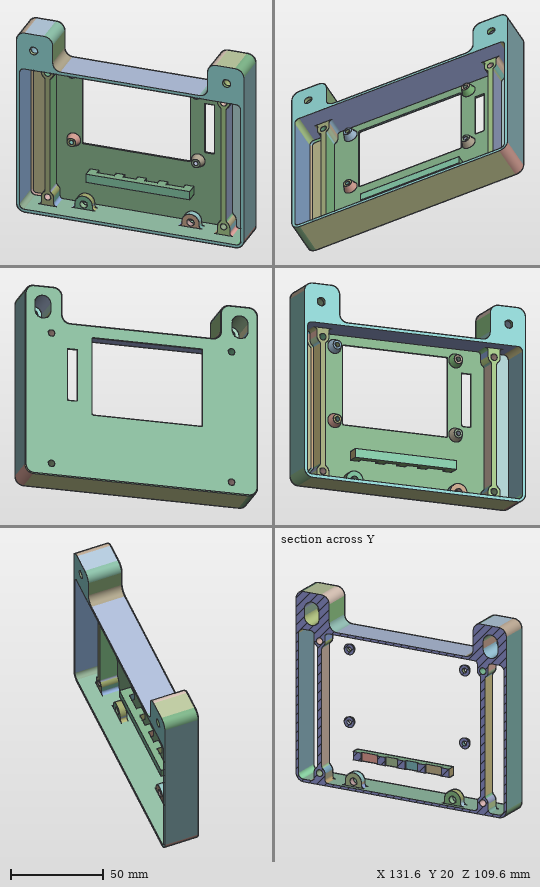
import cadquery as cq
import math

width = 131.6
height = 109.6
depth = 20.0
box_height = 89.5
wall = 1.8
floor_thickness = 1.0
floor_y = depth - floor_thickness
outer_radius = 5.0
neck_radius = 4.6
cavity_radius = 2.8
back_edge_chamfer = 0.5

ear_width = 21.0
ear_hole_inset = 10.0
ear_hole_diameter = 4.6
ear_hole_length = 2.1
ear_slot_width = 9.0
ear_slot_length = 13.2

ridge_x = 50.9
ridge_width = 3.0
ridge_front_y = 8.7
post_radius = 3.5
post_blend_radius = 1.5
post_hole_diameter = 3.7
post_hole_inset = 6.8
flare_radius = 1.7
compartment_chamfer = 1.0

window_left, window_right = -34.6, 27.9
window_bottom, window_top = 37.5, 82.5
window_radius = 0.8
standoff_left, standoff_right = -39.5, 32.5
standoff_bottom, standoff_top = 39.2, 81.0
standoff_base_radius = 4.0
standoff_tip_radius = 2.5
standoff_height = 4.0
standoff_hole_diameter = 2.5

slot_left, slot_right = 36.2, 41.8
slot_bottom, slot_top = 44.6, 74.6
slot_radius = 0.9

bar_length = 60.0
bar_bottom, bar_top = 17.9, 22.9
bar_height = 6.7
bar_foot_width = 5.0
bar_foot_count = 5
outer_gap_width = 10.0
gap_depth = 2.9

lug_x = 30.9
lug_z = 4.7
lug_radius = 5.0
lug_front_y = 11.0
lug_thickness = 4.0
lug_hole_diameter = 4.2


def front_plane(y):
    """Workplane facing the front, with local axes X and Z."""
    return cq.Workplane("XZ", origin=(0, y, 0))


def block(left, right, bottom, top, front, back):
    """Box between the given limits along X, Z and Y."""
    corner = cq.Workplane("XY", origin=(left, front, bottom))
    return corner.box(right - left, back - front, top - bottom, centered=False)


def around(left, right, bottom, top, front=0, back=depth):
    """Selector for what has its center within the given limits, with a little slack."""
    slack = 0.1
    return cq.selectors.BoxSelector(
        (left - slack, front - slack, bottom - slack), (right + slack, back + slack, top + slack)
    )


def holes(points, diameter, front, back):
    """Cylinders along Y used to drill holes."""
    return front_plane(front).pushPoints(points).circle(diameter / 2).extrude(front - back)


def flared_tab(center_x, center_z, radius, base_z, front, back):
    """Round-topped tab rising (or hanging) from a wall at base_z, flared where it joins the wall."""
    up = math.copysign(1, center_z - base_z)
    flare_z = base_z + up * flare_radius
    bulge = flare_radius * (1 - math.sqrt(0.5))
    foot = radius + flare_radius
    return (
        front_plane(front)
        .moveTo(center_x - foot, base_z)
        .threePointArc((center_x - radius - bulge, base_z + up * bulge), (center_x - radius, flare_z))
        .lineTo(center_x - radius, center_z)
        .threePointArc((center_x, center_z + up * radius), (center_x + radius, center_z))
        .lineTo(center_x + radius, flare_z)
        .threePointArc((center_x + radius + bulge, base_z + up * bulge), (center_x + foot, base_z))
        .close()
        .extrude(front - back)
    )


def make_shell():
    half = width / 2
    neck = half - ear_width
    body = block(-half, half, 0, height, 0, depth)
    body = body.cut(block(-neck, neck, box_height, height, 0, depth))
    body = body.edges("|Y").edges(around(-neck, neck, box_height, box_height)).fillet(neck_radius)
    outer_corners = around(-half, half, height, height) + around(-half, half, 0, 0)
    body = body.edges("|Y").edges(outer_corners).fillet(outer_radius)
    body = body.faces(">Y").edges().chamfer(back_edge_chamfer)
    cavity = block(-half + wall, half - wall, wall, box_height - wall, 0, floor_y)
    return body.cut(cavity.edges("|Y").fillet(cavity_radius))


def make_ridge(x):
    half = ridge_width / 2
    low, high = post_hole_inset, box_height - post_hole_inset
    ridge = block(x - half, x + half, low, high, ridge_front_y, floor_y)
    ridge = ridge.union(flared_tab(x, low, post_radius, wall, ridge_front_y, floor_y))
    ridge = ridge.union(flared_tab(x, high, post_radius, box_height - wall, ridge_front_y, floor_y))
    beside_ridge = around(x - half, x + half, low + post_radius / 2, high - post_radius / 2)
    return ridge.edges("|Y").edges(beside_ridge).fillet(post_blend_radius)


def make_standoffs():
    centers = [(x, z) for x in (standoff_left, standoff_right) for z in (standoff_bottom, standoff_top)]
    tip_y = floor_y - standoff_height
    cone = cq.Solid.makeCone(standoff_base_radius, standoff_tip_radius, standoff_height,
                             pnt=cq.Vector(0, floor_y, 0), dir=cq.Vector(0, -1, 0))
    standoffs = cq.Workplane("XY").newObject([cone.translate(cq.Vector(x, 0, z)) for x, z in centers])
    return standoffs.combine().cut(holes(centers, standoff_hole_diameter, tip_y, floor_y))


def make_cable_bar():
    front = floor_y - bar_height
    left = -bar_length / 2
    bar = block(left, left + bar_length, bar_bottom, bar_top, front, floor_y)
    inner_gap_width = (bar_length - bar_foot_count * bar_foot_width - 2 * outer_gap_width) / 2
    for gap in (outer_gap_width, inner_gap_width, inner_gap_width, outer_gap_width):
        left += bar_foot_width
        bar = bar.cut(block(left, left + gap, bar_bottom, bar_top, floor_y - gap_depth, floor_y))
        left += gap
    return bar


def make_lug(x):
    back = lug_front_y + lug_thickness
    lug = flared_tab(x, lug_z, lug_radius, wall, lug_front_y, back)
    return lug.cut(holes([(x, lug_z)], lug_hole_diameter, lug_front_y, back))


def make_openings():
    window = block(window_left, window_right, window_bottom, window_top, floor_y, depth)
    slot = block(slot_left, slot_right, slot_bottom, slot_top, floor_y, depth)
    slot = slot.faces("<Z").edges("|Y").fillet(slot_radius)
    return window.edges("|Y").fillet(window_radius).union(slot)


def make_ear_slots(hole_centers):
    """Upright slots from the back that widen each ear hole; the upper slot end is centered on the hole."""
    drop = (ear_slot_length - ear_slot_width) / 2
    slot_centers = [(x, z - drop) for x, z in hole_centers]
    slots = front_plane(ear_hole_length).pushPoints(slot_centers)
    return slots.slot2D(ear_slot_length, ear_slot_width, 90).extrude(ear_hole_length - depth)


body = make_shell()
for side in (-1, 1):
    body = body.union(make_ridge(side * ridge_x))

compartment_floor = around(-width / 2, -ridge_x - ridge_width / 2, 0, box_height, floor_y, floor_y)
body = body.edges(compartment_floor).chamfer(compartment_chamfer)

for side in (-1, 1):
    body = body.union(make_lug(side * lug_x))
body = body.union(make_standoffs()).union(make_cable_bar())

ear_hole_x = width / 2 - ear_hole_inset
ear_holes = [(side * ear_hole_x, height - ear_hole_inset) for side in (-1, 1)]
post_holes = [(side * ridge_x, z) for side in (-1, 1) for z in (post_hole_inset, box_height - post_hole_inset)]

result = (
    body.cut(make_openings())
    .cut(holes(ear_holes, ear_hole_diameter, 0, depth))
    .cut(make_ear_slots(ear_holes))
    .cut(holes(post_holes, post_hole_diameter, 0, depth))
)